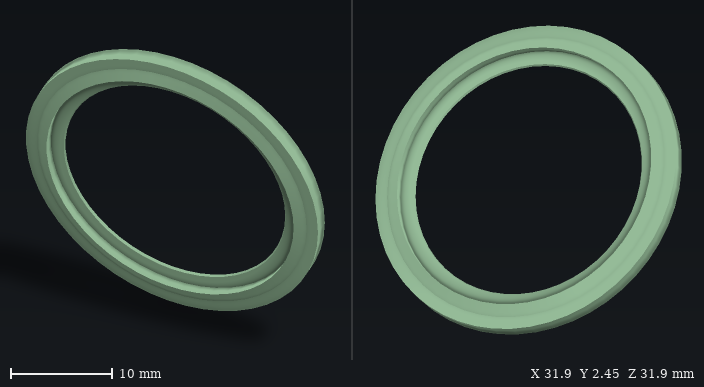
import cadquery as cq

outer_radius = 15.95
ring_thickness = 1.6
seal_thickness = 2.45
joint_radius = 14.72
lip_radius = 13.5
web_thickness = 0.38
web_root_bore_radius = 12.13
web_tip_bore_radius = 12.0

half_ring = ring_thickness / 2
half_seal = seal_thickness / 2
half_web = web_thickness / 2


def revolve_about_y(points):
    """Revolve a closed (radius, height along Y) outline about the Y axis."""
    return cq.Workplane("XY").polyline(points).close().revolve(360, (0, 0, 0), (0, 1, 0))


def make_metal_ring():
    return revolve_about_y([
        (joint_radius, -half_ring),
        (outer_radius, -half_ring),
        (outer_radius, half_ring),
        (joint_radius, half_ring),
    ])


def make_rubber_seal():
    """Sloped lips on both sides, joined at mid-thickness to a thin web with a pointed bore."""
    front_half = [
        (web_tip_bore_radius, 0),
        (web_root_bore_radius, -half_web),
        (lip_radius, -half_web),
        (lip_radius, -half_seal),
        (joint_radius, -half_ring),
    ]
    back_half = [(radius, -height) for radius, height in reversed(front_half[1:])]
    return revolve_about_y(front_half + back_half)


metal_ring = make_metal_ring()
rubber_seal = make_rubber_seal()

result = cq.Compound.makeCompound([metal_ring.val(), rubber_seal.val()])